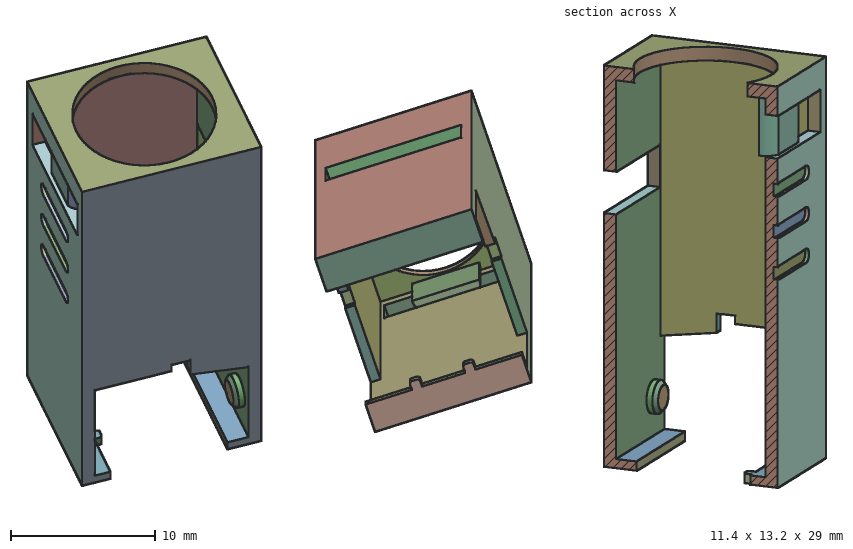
import cadquery as cq
import math

WIDTH = 11.43
DEPTH = 13.2
HEIGHT = 29.0

END_WALL = 0.95
SIDE_WALL = 0.715
TOP_PLATE = 1.0
LIP_HEIGHT = 0.7
FRONT_LIP_REACH = 2.1
BACK_LIP_REACH = 2.5
BORE_DIAMETER = 10.0

FRONT = -DEPTH / 2
BACK = DEPTH / 2
FRONT_INSIDE = FRONT + END_WALL
CAVITY_WIDTH = WIDTH - 2 * SIDE_WALL
BACK_INSIDE = BACK - END_WALL
PLATE_UNDERSIDE = HEIGHT - TOP_PLATE

SIDE_OPENING_TOP = 9.1
SLOT_TOP = 9.7
SLOT_FRONT = BACK - 6.6
SLOT_BACK = BACK - 5.2
RAMP_HIGH = 8.3
RAMP_LOW = 7.6

WINDOW_HEIGHT = 3.05
FRONT_WINDOW_WIDTH = 9.35
FRONT_WINDOW_OFFSET = 0.05
FRONT_WINDOW_TOP = HEIGHT - 2.15
BACK_WINDOW_WIDTH = 9.9
BACK_WINDOW_TOP = 21.4

POST_WIDTH = 4.9
POST_FACE_WIDTH = 3.45
POST_RECESS = 0.35
POST_THICKNESS = 1.15
POST_CORNER_RADIUS = 1.2

GROOVE_LENGTH = 5.6
GROOVE_HEIGHT = 1.0
GROOVE_DEPTH = 0.3
GROOVE_PITCH = 3.0
GROOVE_COUNT = 3
TOP_GROOVE_Z = HEIGHT - 7.5

TOOTH_WIDTH = 0.75
TOOTH_REACH = 2.7
TOOTH_OFFSET = 1.95
TOOTH_CORNER_RADIUS = 0.2

STUD_DIAMETER = 2.4
STUD_LENGTH = 0.75
STUD_CHAMFER = 0.3
STUD_OFFSET = 3.8
STUD_Z = 3.55


def box(x_size, y_min, y_max, z_min, z_max, x_centre=0.0):
    """Block centred on x_centre and spanning the given Y and Z limits."""
    block = cq.Workplane("XY").box(x_size, y_max - y_min, z_max - z_min, centered=(True, False, False))
    return block.translate((x_centre, y_min, z_min))


def make_shell():
    shell = box(WIDTH, FRONT, BACK, 0, HEIGHT)
    cavity = box(CAVITY_WIDTH, FRONT_INSIDE, BACK_INSIDE, LIP_HEIGHT, PLATE_UNDERSIDE)
    bottom_gap = box(WIDTH, FRONT + FRONT_LIP_REACH, BACK - BACK_LIP_REACH, 0, LIP_HEIGHT)
    bore = cq.Workplane("XY", origin=(0, 0, PLATE_UNDERSIDE)).circle(BORE_DIAMETER / 2).extrude(TOP_PLATE)
    return shell.cut(cavity).cut(bottom_gap).cut(bore)


def make_side_opening():
    return (
        cq.Workplane("YZ")
        .moveTo(FRONT_INSIDE, LIP_HEIGHT)
        .lineTo(FRONT_INSIDE, SIDE_OPENING_TOP)
        .lineTo(SLOT_FRONT, SIDE_OPENING_TOP)
        .lineTo(SLOT_FRONT, SLOT_TOP)
        .lineTo(SLOT_BACK, SLOT_TOP)
        .lineTo(SLOT_BACK, RAMP_HIGH)
        .lineTo(BACK_INSIDE, RAMP_LOW)
        .lineTo(BACK_INSIDE, LIP_HEIGHT)
        .close()
        .extrude(WIDTH / 2, both=True)
    )


def make_windows():
    front_bottom = FRONT_WINDOW_TOP - WINDOW_HEIGHT
    back_bottom = BACK_WINDOW_TOP - WINDOW_HEIGHT
    front = box(FRONT_WINDOW_WIDTH, FRONT, FRONT_INSIDE, front_bottom, FRONT_WINDOW_TOP, FRONT_WINDOW_OFFSET)
    back = box(BACK_WINDOW_WIDTH, BACK_INSIDE, BACK, back_bottom, BACK_WINDOW_TOP)
    return front.union(back)


def make_post():
    """Post whose rounded corners run into the flanks smoothly and meet the front face at an edge."""
    half_width = POST_WIDTH / 2
    half_face = POST_FACE_WIDTH / 2
    front = FRONT + POST_RECESS
    back = front + POST_THICKNESS
    bottom = FRONT_WINDOW_TOP - WINDOW_HEIGHT
    arc_centre_x = half_width - POST_CORNER_RADIUS
    arc_depth = math.sqrt(POST_CORNER_RADIUS**2 - (half_face - arc_centre_x) ** 2)
    arc_end = front + arc_depth
    return (
        cq.Workplane("XY", origin=(FRONT_WINDOW_OFFSET, 0, bottom))
        .moveTo(-half_face, front)
        .lineTo(half_face, front)
        .radiusArc((half_width, arc_end), -POST_CORNER_RADIUS)
        .lineTo(half_width, back)
        .lineTo(-half_width, back)
        .lineTo(-half_width, arc_end)
        .radiusArc((-half_face, front), -POST_CORNER_RADIUS)
        .close()
        .extrude(PLATE_UNDERSIDE - bottom)
    )


def make_grooves():
    centres = [(0, TOP_GROOVE_Z - i * GROOVE_PITCH) for i in range(GROOVE_COUNT)]
    return (
        cq.Workplane("XZ", origin=(0, FRONT, 0))
        .pushPoints(centres)
        .slot2D(GROOVE_LENGTH, GROOVE_HEIGHT)
        .extrude(-GROOVE_DEPTH)
    )


def make_tooth(x_centre):
    tooth = box(TOOTH_WIDTH, FRONT, FRONT + TOOTH_REACH, 0, LIP_HEIGHT, x_centre)
    return tooth.edges("|Z and >Y").fillet(TOOTH_CORNER_RADIUS)


def make_stud(x_centre):
    return (
        cq.Workplane("XZ", origin=(x_centre, BACK_INSIDE, STUD_Z))
        .circle(STUD_DIAMETER / 2)
        .extrude(STUD_LENGTH)
        .faces("<Y")
        .chamfer(STUD_CHAMFER)
    )


result = make_shell().cut(make_side_opening()).cut(make_windows()).cut(make_grooves())
result = result.union(make_post())
for side in (-1, 1):
    result = result.union(make_tooth(side * TOOTH_OFFSET))
    result = result.union(make_stud(side * STUD_OFFSET))